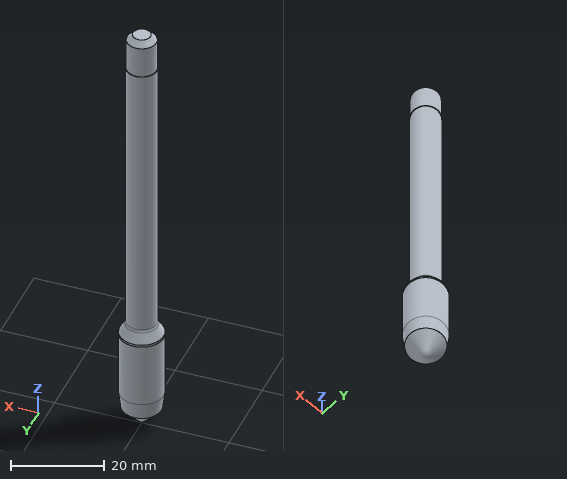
import cadquery as cq

total_length = 104.1
head_radius = 10.1 / 2
shaft_radius = 7.0 / 2
end_radius = 6.8 / 2

point_height = 4.6
point_radius = point_height
nose_top = 8.6
joint_height = 24.1

rim_height = 0.5
cone_height = 2.3
flare_height = 0.6
flare_width = 0.2

end_length = 8.9
end_chamfer = 1.4


def revolve_about_axis(outline):
    """Revolve a closed (radius, height) outline into a solid about Z."""
    return outline.close().revolve(360, (0, 0, 0), (0, 1, 0))


def make_head():
    """Pointed head with a tapered nose and a flat top."""
    outline = cq.Workplane("XZ").polyline([
        (0, 0),
        (point_radius, point_height),
        (head_radius, nose_top),
        (head_radius, joint_height),
        (0, joint_height),
    ])
    return revolve_about_axis(outline)


def make_shaft():
    """Shaft with a conical shoulder at the joint and a reduced, chamfered end."""
    cone_bottom = joint_height + rim_height
    cone_top = cone_bottom + cone_height
    flare_top = cone_top + flare_height
    step_height = total_length - end_length
    flare_arc_radius = (flare_height**2 + flare_width**2) / (2 * flare_width)
    outline = (
        cq.Workplane("XZ")
        .moveTo(0, joint_height)
        .lineTo(head_radius, joint_height)
        .lineTo(head_radius, cone_bottom)
        .lineTo(shaft_radius + flare_width, cone_top)
        .radiusArc((shaft_radius, flare_top), flare_arc_radius)
        .lineTo(shaft_radius, step_height)
        .lineTo(end_radius, step_height)
        .lineTo(end_radius, total_length - end_chamfer)
        .lineTo(end_radius - end_chamfer, total_length)
        .lineTo(0, total_length)
    )
    return revolve_about_axis(outline)


head = make_head()
shaft = make_shaft()
result = cq.Compound.makeCompound([head.val(), shaft.val()])